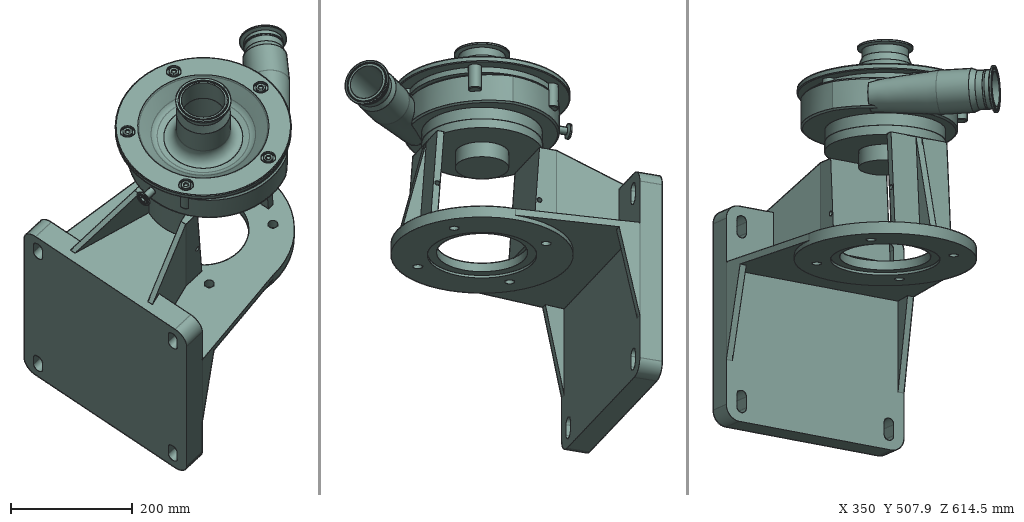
import cadquery as cq
import math

PLATE_WIDTH = 350.0
PLATE_HEIGHT = 370.0
PLATE_THICKNESS = 40.0
PLATE_FRONT_Y = -250.0
PLATE_BACK_Y = PLATE_FRONT_Y + PLATE_THICKNESS
PLATE_CORNER_RADIUS = 25.0
SLOT_PITCH_X = 290.0
SLOT_PITCH_Z = 300.0
SLOT_LENGTH = 38.0
SLOT_WIDTH = 19.0

SHELF_RADIUS = 150.0
SHELF_TOP_Z = 270.0
SHELF_DISC_THICKNESS = 20.0
SHELF_WEB_THICKNESS = 12.0
SHELF_WEB_BOTTOM_Z = SHELF_TOP_Z - SHELF_WEB_THICKNESS
SHELF_BORE_RADIUS = 75.0
SPIGOT_RECESS_RADIUS = 90.0
SPIGOT_RECESS_DEPTH = 4.5
SHELF_BOLT_CIRCLE_RADIUS = 115.0
SHELF_BOLT_DIAMETER = 16.0
SHELF_BOLT_COUNT = 4
SHELF_BOLT_FIRST_ANGLE = 45.0
GUSSET_START_Y = -175.0
GUSSET_BOTTOM_Z = 102.0
GUSSET_WIDTH = 12.0

SUPPORT_TOP_Z = 435.0
SUPPORT_HALF_WIDTH = 55.0
FRONT_COLUMN_TOP_Y = -80.0
FRONT_COLUMN_BOTTOM_Y = -69.0
FRONT_COLUMN_OUTER_Y = -110.0
FRONT_INNER_HALF_WIDTH = 40.0
RIB_END_Y = -234.5
RIB_ANGLE = 15.0
BACK_WALL_THICKNESS = 12.0
BACK_WALL_TOP_Y = 89.0
BACK_WALL_BOTTOM_Y = 101.0
BACK_RIB_FOOT_Y = 144.0
BACK_RIB_WIDTH = 12.0
SIDE_HOLE_Z = 340.0
SIDE_HOLE_DIAMETER = 8.0
SIDE_HOLE_DEPTH = 15.0
SIDE_HOLE_YS = (FRONT_COLUMN_TOP_Y, BACK_WALL_TOP_Y + BACK_WALL_THICKNESS)

SEAT_RADIUS = 100.0
SEAT_RING_TOP_Z = 451.0
ADAPTER_RADIUS = 99.5
CASING_BOTTOM_Z = 472.0
HUB_RADIUS = 44.0
HUB_BOTTOM_Z = 408.0
CASING_RADIUS = 135.0
CASING_CENTER = (8.3, 5.0)
CASING_TRIM_RADIUS = 140.0
CASING_TRIM_CENTER = (13.0, -18.0)
CASING_TOP_Z = 524.0
CASING_CHAMFER = 3.0
NECK_RADIUS = 124.0
COVER_RADIUS = 145.0
COVER_BOTTOM_Z = 534.0
COVER_TOP_Z = 544.0
COVER_CHAMFER = 1.5

DISH_RIM_RADIUS = 108.0
DISH_RIM_CHAMFER = 2.0
DISH_FLOOR_Z = 515.0
DISH_FLOOR_ANGLE = 15.0
DISH_CONE_ANGLE = 42.0
DISH_FLOOR_INNER_RADIUS = 65.0
DISH_FLOOR_OUTER_RADIUS = 76.0
DISH_CONE_INNER_RADIUS = 86.0

INLET_RADIUS = 44.5
INLET_BORE_RADIUS = 36.0
INLET_BORE_BOTTOM_Z = 480.0
INLET_WIDE_BORE_RADIUS = 40.0
INLET_WIDE_BORE_TOP_Z = 573.0
INLET_GROOVE_RADIUS = 40.5
INLET_CONE_BOTTOM_Z = 581.0
INLET_CONE_TOP_Z = 595.0
INLET_NECK_RADIUS = 38.5
INLET_FLANGE_RADIUS = 45.5
INLET_TOP_Z = 614.5

OVERALL_BACK_Y = 257.92
OUTLET_Z = 496.0
OUTLET_ANGLE = 135.0
OUTLET_OFFSET = 116.3
OUTLET_FLANGE_RADIUS = 38.75
OUTLET_NECK_RADIUS = 32.5
OUTLET_RADIUS = 36.5
OUTLET_ROOT_RADIUS = 26.0
OUTLET_BORE_RADIUS = 29.0
OUTLET_BORE_ROOT_RADIUS = 22.0
OUTLET_NECK_LENGTH = 28.0
OUTLET_BEAD_START = 16.0
OUTLET_BEAD_WIDTH = 3.0
OUTLET_BEAD_RADIUS = OUTLET_NECK_RADIUS + 0.7
OUTLET_GROOVE_RADIUS = 34.5
OUTLET_CONE_LENGTH = 10.0
OUTLET_DIFFUSER_END = 117.0
OUTLET_END = (OVERALL_BACK_Y / math.sin(math.radians(OUTLET_ANGLE))
              - OUTLET_FLANGE_RADIUS - OUTLET_OFFSET)

CLAMP_LIP = 3.0
CLAMP_TAPER = 2.5
CLAMP_GROOVE_WIDTH = 2.0
CLAMP_GROOVE_DEPTH = 1.0

SCREW_COUNT = 5
SCREW_FIRST_ANGLE = 9.0
SCREW_CIRCLE_RADIUS = 125.0
SCREW_RECESS_RADIUS = 12.0
SCREW_RECESS_DEPTH = 4.0
SCREW_HEAD_RADIUS = 8.0
SCREW_SOCKET_WIDTH = 8.0
SCREW_SOCKET_DEPTH = 3.0
LUG_RADIUS = 11.0
LUG_BOTTOM_Z = 492.0
LUG_CHAMFER = 1.5

DRAIN_Z = 500.0
DRAIN_END_Y = -154.5
DRAIN_ROOT_Y = -110.0
DRAIN_RADIUS = 6.5
DRAIN_FLANGE_RADIUS = 13.0
DRAIN_BORE_RADIUS = 4.5
DRAIN_GROOVE_RADIUS = 9.0


def cylinder(radius, bottom_z, top_z, center=(0, 0)):
    return cq.Workplane("XY", origin=(*center, bottom_z)).circle(radius).extrude(top_z - bottom_z)


def side_profile(points, x_start, x_end):
    """Prism along X from (y, z) points."""
    return cq.Workplane("YZ", origin=(x_start, 0, 0)).polyline(points).close().extrude(x_end - x_start)


def wall_plate():
    plane = cq.Workplane("XZ", origin=(0, PLATE_BACK_Y, PLATE_HEIGHT / 2))
    plate = plane.rect(PLATE_WIDTH, PLATE_HEIGHT).extrude(PLATE_THICKNESS)
    plate = plate.edges("|Y").fillet(PLATE_CORNER_RADIUS)
    slots = (plane.rect(SLOT_PITCH_X, SLOT_PITCH_Z, forConstruction=True).vertices()
             .slot2D(SLOT_LENGTH, SLOT_WIDTH, 90).extrude(PLATE_THICKNESS))
    return plate.cut(slots)


def shelf_outline(half_width_cut=0.0):
    """Half-disc outline whose sides widen straight to the wall plate corners.

    half_width_cut moves both sides inwards.
    """
    corner_x = PLATE_WIDTH / 2 - half_width_cut
    radius = SHELF_RADIUS - half_width_cut
    return (cq.Workplane("XY").moveTo(corner_x, PLATE_BACK_Y).lineTo(radius, 0)
            .threePointArc((0, radius), (-radius, 0))
            .lineTo(-corner_x, PLATE_BACK_Y).close())


def shelf():
    bottom_z = SHELF_TOP_Z - SHELF_DISC_THICKNESS
    web = shelf_outline().extrude(SHELF_WEB_THICKNESS).translate((0, 0, SHELF_WEB_BOTTOM_Z))
    disc = cylinder(SHELF_RADIUS, bottom_z, SHELF_TOP_Z)
    holes = (cq.Workplane("XY", origin=(0, 0, SHELF_TOP_Z))
             .polarArray(SHELF_BOLT_CIRCLE_RADIUS, SHELF_BOLT_FIRST_ANGLE, 360, SHELF_BOLT_COUNT)
             .circle(SHELF_BOLT_DIAMETER / 2).extrude(-SHELF_DISC_THICKNESS))
    bore = cylinder(SHELF_BORE_RADIUS, bottom_z, SHELF_TOP_Z)
    spigot_recess = cylinder(SPIGOT_RECESS_RADIUS, bottom_z, bottom_z + SPIGOT_RECESS_DEPTH)
    return web.union(disc).cut(bore).cut(spigot_recess).cut(holes)


def shelf_gussets():
    """Two triangular gussets under the shelf, flush with its slanted sides."""
    wedge = side_profile(
        [(GUSSET_START_Y, SHELF_WEB_BOTTOM_Z), (PLATE_BACK_Y, SHELF_WEB_BOTTOM_Z),
         (PLATE_BACK_Y, GUSSET_BOTTOM_Z)],
        -PLATE_WIDTH / 2, PLATE_WIDTH / 2)
    outer = shelf_outline().extrude(SHELF_TOP_Z)
    inner = shelf_outline(GUSSET_WIDTH).extrude(SHELF_TOP_Z)
    return wedge.intersect(outer).cut(inner)


def front_column():
    """Round-faced column whose two sides run on as splayed ribs to the wall plate.

    The space between the ribs is filled up to the top of the wall plate.
    """
    inner_start_y = -math.sqrt(SEAT_RADIUS ** 2 - FRONT_INNER_HALF_WIDTH ** 2)
    splay = math.tan(math.radians(RIB_ANGLE))
    rib_inner_x = FRONT_INNER_HALF_WIDTH + splay * (inner_start_y - RIB_END_Y)
    rib_outer_x = SUPPORT_HALF_WIDTH + splay * (FRONT_COLUMN_OUTER_Y - RIB_END_Y)
    plan = (cq.Workplane("XY", origin=(0, 0, SHELF_TOP_Z))
            .moveTo(-SUPPORT_HALF_WIDTH, 0)
            .lineTo(-SUPPORT_HALF_WIDTH, FRONT_COLUMN_OUTER_Y)
            .lineTo(-rib_outer_x, RIB_END_Y)
            .lineTo(-rib_inner_x, RIB_END_Y)
            .lineTo(-FRONT_INNER_HALF_WIDTH, inner_start_y)
            .threePointArc((0, -SEAT_RADIUS), (FRONT_INNER_HALF_WIDTH, inner_start_y))
            .lineTo(rib_inner_x, RIB_END_Y)
            .lineTo(rib_outer_x, RIB_END_Y)
            .lineTo(SUPPORT_HALF_WIDTH, FRONT_COLUMN_OUTER_Y)
            .lineTo(SUPPORT_HALF_WIDTH, 0)
            .close().extrude(SUPPORT_TOP_Z - SHELF_TOP_Z))
    side = side_profile(
        [(FRONT_COLUMN_BOTTOM_Y, SHELF_TOP_Z), (FRONT_COLUMN_TOP_Y, SUPPORT_TOP_Z),
         (FRONT_COLUMN_OUTER_Y, SUPPORT_TOP_Z), (RIB_END_Y, PLATE_HEIGHT), (RIB_END_Y, SHELF_TOP_Z)],
        -PLATE_WIDTH / 2, PLATE_WIDTH / 2)
    filling = (cq.Workplane("XY", origin=(0, 0, SHELF_TOP_Z))
               .polyline([(-FRONT_INNER_HALF_WIDTH, inner_start_y), (-rib_inner_x, RIB_END_Y),
                          (rib_inner_x, RIB_END_Y), (FRONT_INNER_HALF_WIDTH, inner_start_y)])
               .close().extrude(PLATE_HEIGHT - SHELF_TOP_Z))
    return plan.intersect(side).union(filling)


def back_wall():
    """Leaning wall behind the pump axis, with a central rib behind it."""
    outer_top_y = BACK_WALL_TOP_Y + BACK_WALL_THICKNESS
    wall = side_profile(
        [(BACK_WALL_BOTTOM_Y, SHELF_TOP_Z), (BACK_WALL_TOP_Y, SUPPORT_TOP_Z),
         (outer_top_y, SUPPORT_TOP_Z), (BACK_WALL_BOTTOM_Y + BACK_WALL_THICKNESS, SHELF_TOP_Z)],
        -SUPPORT_HALF_WIDTH, SUPPORT_HALF_WIDTH)
    rib = side_profile(
        [(BACK_WALL_BOTTOM_Y, SHELF_TOP_Z), (BACK_WALL_TOP_Y, SUPPORT_TOP_Z),
         (outer_top_y, SUPPORT_TOP_Z), (BACK_RIB_FOOT_Y, SHELF_TOP_Z)],
        -BACK_RIB_WIDTH / 2, BACK_RIB_WIDTH / 2)
    return wall.union(rib)


def support_side_holes():
    holes = cq.Workplane("XY")
    for y in SIDE_HOLE_YS:
        for side in (-1, 1):
            start = cq.Vector(side * SUPPORT_HALF_WIDTH, y, SIDE_HOLE_Z)
            holes = holes.add(cq.Solid.makeCylinder(
                SIDE_HOLE_DIAMETER / 2, SIDE_HOLE_DEPTH, start, cq.Vector(-side, 0, 0)))
    return holes.combine()


def casing_disc(radius, center):
    return cylinder(radius, CASING_BOTTOM_Z, CASING_TOP_Z, center).edges().chamfer(CASING_CHAMFER)


def volute_casing():
    """Off-centre round casing, drawn in towards the pump axis behind the outlet nozzle."""
    return (casing_disc(CASING_RADIUS, CASING_CENTER)
            .intersect(casing_disc(CASING_TRIM_RADIUS, CASING_TRIM_CENTER)))


def gasket_groove(radius):
    """Ring of the groove in a clamp face, below the XY plane and around the Z axis."""
    half_width = CLAMP_GROOVE_WIDTH / 2
    ring = cq.Workplane("XY").circle(radius + half_width).circle(radius - half_width)
    return ring.extrude(-CLAMP_GROOVE_DEPTH)


def pump_body():
    hub = cylinder(HUB_RADIUS, HUB_BOTTOM_Z, SUPPORT_TOP_Z)
    seat = cylinder(SEAT_RADIUS, SUPPORT_TOP_Z, SEAT_RING_TOP_Z)
    adapter = cylinder(ADAPTER_RADIUS, SEAT_RING_TOP_Z, CASING_BOTTOM_Z)
    neck = cylinder(NECK_RADIUS, CASING_TOP_Z, COVER_BOTTOM_Z)
    cover = cylinder(COVER_RADIUS, COVER_BOTTOM_Z, COVER_TOP_Z).edges().chamfer(COVER_CHAMFER)
    return hub.union(seat).union(adapter).union(volute_casing()).union(neck).union(cover)


def dish():
    """Ring-shaped hollow in the cover around the inlet nozzle."""
    floor_slope = math.radians(DISH_FLOOR_ANGLE)
    cone_slope = math.radians(DISH_CONE_ANGLE)
    mid_slope = (floor_slope + cone_slope) / 2
    bend_width = DISH_CONE_INNER_RADIUS - DISH_FLOOR_OUTER_RADIUS
    bend_radius = bend_width / (math.sin(cone_slope) - math.sin(floor_slope))
    bend_center_r = DISH_FLOOR_OUTER_RADIUS - bend_radius * math.sin(floor_slope)
    bend_start_z = (DISH_FLOOR_Z + math.tan(floor_slope)
                    * (DISH_FLOOR_OUTER_RADIUS - DISH_FLOOR_INNER_RADIUS))
    bend_center_z = bend_start_z + bend_radius * math.cos(floor_slope)
    bend_end_z = bend_center_z - bend_radius * math.cos(cone_slope)
    bend_mid = (bend_center_r + bend_radius * math.sin(mid_slope),
                bend_center_z - bend_radius * math.cos(mid_slope))
    root_radius = DISH_FLOOR_INNER_RADIUS - INLET_RADIUS
    root_mid = (DISH_FLOOR_INNER_RADIUS - root_radius * math.sqrt(0.5),
                DISH_FLOOR_Z + root_radius * (1 - math.sqrt(0.5)))
    rim_inner_radius = DISH_RIM_RADIUS - DISH_RIM_CHAMFER
    return (cq.Workplane("XZ").moveTo(INLET_RADIUS, COVER_TOP_Z)
            .lineTo(INLET_RADIUS, DISH_FLOOR_Z + root_radius)
            .threePointArc(root_mid, (DISH_FLOOR_INNER_RADIUS, DISH_FLOOR_Z))
            .lineTo(DISH_FLOOR_OUTER_RADIUS, bend_start_z)
            .threePointArc(bend_mid, (DISH_CONE_INNER_RADIUS, bend_end_z))
            .lineTo(rim_inner_radius, COVER_TOP_Z - DISH_RIM_CHAMFER)
            .lineTo(DISH_RIM_RADIUS, COVER_TOP_Z)
            .close().revolve(360, (0, 0, 0), (0, 1, 0)))


def inlet_nozzle():
    taper_top_z = INLET_TOP_Z - CLAMP_LIP
    points = [
        (0, COVER_BOTTOM_Z),
        (INLET_RADIUS, COVER_BOTTOM_Z),
        (INLET_RADIUS, INLET_CONE_BOTTOM_Z),
        (INLET_NECK_RADIUS, INLET_CONE_TOP_Z),
        (INLET_NECK_RADIUS, taper_top_z - CLAMP_TAPER),
        (INLET_FLANGE_RADIUS, taper_top_z),
        (INLET_FLANGE_RADIUS, INLET_TOP_Z),
        (0, INLET_TOP_Z),
    ]
    return cq.Workplane("XZ").polyline(points).close().revolve(360, (0, 0, 0), (0, 1, 0))


def inlet_bore():
    """Bore that is wider below its mouth, with the gasket groove around the mouth."""
    mouth = cylinder(INLET_BORE_RADIUS, INLET_BORE_BOTTOM_Z, INLET_TOP_Z)
    wide_part = cylinder(INLET_WIDE_BORE_RADIUS, INLET_BORE_BOTTOM_Z, INLET_WIDE_BORE_TOP_Z)
    groove = gasket_groove(INLET_GROOVE_RADIUS).translate((0, 0, INLET_TOP_Z))
    return mouth.union(wide_part).union(groove)


def outlet_revolve(points):
    """Solid of revolution about the outlet axis from (distance along axis, radius) points."""
    profile = cq.Workplane("XY").polyline(points).close().revolve(360, (0, 0, 0), (1, 0, 0))
    return profile.translate((0, -OUTLET_OFFSET, OUTLET_Z)).rotate((0, 0, 0), (0, 0, 1), OUTLET_ANGLE)


def outlet_nozzle():
    taper_end = OUTLET_END - CLAMP_LIP
    neck_start = OUTLET_END - OUTLET_NECK_LENGTH
    bead_start = OUTLET_END - OUTLET_BEAD_START
    bead_end = bead_start + OUTLET_BEAD_WIDTH
    return outlet_revolve([
        (0, 0),
        (0, OUTLET_ROOT_RADIUS),
        (OUTLET_DIFFUSER_END, OUTLET_RADIUS),
        (neck_start - OUTLET_CONE_LENGTH, OUTLET_RADIUS),
        (neck_start, OUTLET_NECK_RADIUS),
        (bead_start, OUTLET_NECK_RADIUS),
        (bead_start, OUTLET_BEAD_RADIUS),
        (bead_end, OUTLET_BEAD_RADIUS),
        (bead_end, OUTLET_NECK_RADIUS),
        (taper_end - CLAMP_TAPER, OUTLET_NECK_RADIUS),
        (taper_end, OUTLET_FLANGE_RADIUS),
        (OUTLET_END, OUTLET_FLANGE_RADIUS),
        (OUTLET_END, 0),
    ])


def outlet_bore():
    """Bore that narrows towards the casing, with the gasket groove around its mouth."""
    groove_inner = OUTLET_GROOVE_RADIUS - CLAMP_GROOVE_WIDTH / 2
    groove_outer = OUTLET_GROOVE_RADIUS + CLAMP_GROOVE_WIDTH / 2
    groove_floor = OUTLET_END - CLAMP_GROOVE_DEPTH
    bore = outlet_revolve([
        (0, 0),
        (0, OUTLET_BORE_ROOT_RADIUS),
        (OUTLET_DIFFUSER_END, OUTLET_BORE_RADIUS),
        (OUTLET_END, OUTLET_BORE_RADIUS),
        (OUTLET_END, 0),
    ])
    groove = outlet_revolve([
        (groove_floor, groove_inner),
        (groove_floor, groove_outer),
        (OUTLET_END, groove_outer),
        (OUTLET_END, groove_inner),
    ])
    return bore.union(groove)


def at_screws(shape):
    """Union of copies of a shape, built on the Z axis, at every cover screw."""
    copies = cq.Workplane("XY")
    for index in range(SCREW_COUNT):
        angle = SCREW_FIRST_ANGLE + index * 360 / SCREW_COUNT
        copies = copies.add(shape.translate((SCREW_CIRCLE_RADIUS, 0, 0)).rotate((0, 0, 0), (0, 0, 1), angle))
    return copies.combine()


def cover_lugs():
    return at_screws(cylinder(LUG_RADIUS, LUG_BOTTOM_Z, COVER_BOTTOM_Z).faces("<Z").chamfer(LUG_CHAMFER))


def screw_recesses():
    """Ring recesses that leave the screw heads standing, and their hexagon sockets."""
    recess = cylinder(SCREW_RECESS_RADIUS, COVER_TOP_Z - SCREW_RECESS_DEPTH, COVER_TOP_Z)
    head = cylinder(SCREW_HEAD_RADIUS, COVER_TOP_Z - SCREW_RECESS_DEPTH, COVER_TOP_Z)
    socket = (cq.Workplane("XY", origin=(0, 0, COVER_TOP_Z))
              .polygon(6, SCREW_SOCKET_WIDTH, circumscribed=True).extrude(-SCREW_SOCKET_DEPTH))
    return at_screws(recess.cut(head).union(socket))


def drain_fitting():
    lip_y = DRAIN_END_Y + CLAMP_LIP
    points = [
        (0, DRAIN_ROOT_Y),
        (DRAIN_RADIUS, DRAIN_ROOT_Y),
        (DRAIN_RADIUS, lip_y + CLAMP_TAPER),
        (DRAIN_FLANGE_RADIUS, lip_y),
        (DRAIN_FLANGE_RADIUS, DRAIN_END_Y),
        (0, DRAIN_END_Y),
    ]
    profile = cq.Workplane("XY").polyline(points).close().revolve(360, (0, 0, 0), (0, 1, 0))
    return profile.translate((0, 0, DRAIN_Z))


def drain_bore():
    """Bore of the drain fitting, with the gasket groove in its face."""
    bore = (cq.Workplane("XZ", origin=(0, DRAIN_ROOT_Y, DRAIN_Z))
            .circle(DRAIN_BORE_RADIUS).extrude(DRAIN_ROOT_Y - DRAIN_END_Y))
    groove = (gasket_groove(DRAIN_GROOVE_RADIUS).rotate((0, 0, 0), (1, 0, 0), 90)
              .translate((0, DRAIN_END_Y, DRAIN_Z)))
    return bore.union(groove)


bracket = wall_plate().union(shelf()).union(shelf_gussets())
bracket = bracket.union(front_column()).union(back_wall()).cut(support_side_holes())

pump = pump_body().cut(dish()).union(inlet_nozzle()).union(outlet_nozzle())
pump = pump.union(cover_lugs()).union(drain_fitting())
pump = pump.cut(inlet_bore()).cut(outlet_bore()).cut(drain_bore()).cut(screw_recesses())

result = bracket.union(pump)